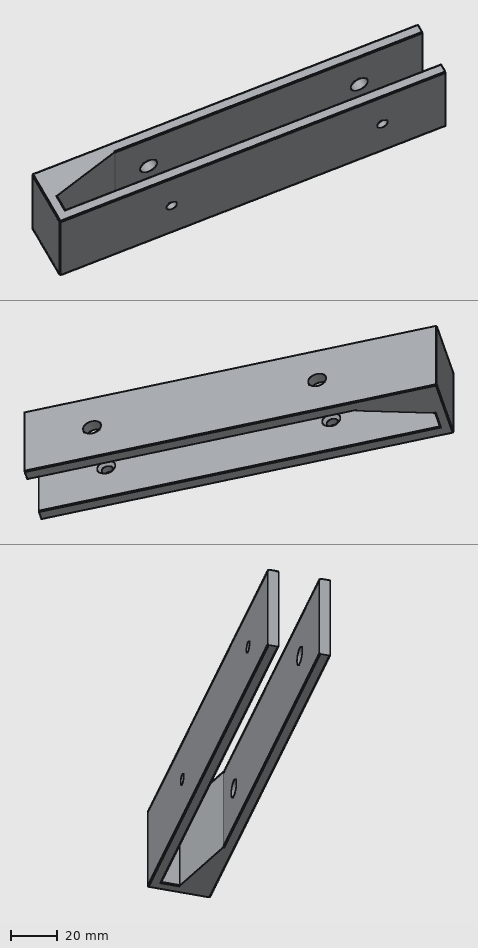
import cadquery as cq

width = 28.0
length = 183.0
height = 40.0

wall = 5.0
end_wall = 5.0
wedge_base_x = 15.0
wedge_end_y = 37.0

screw_diameter = 5.0
head_diameter = 8.0
countersink_depth = (head_diameter - screw_diameter) / 2
hole_spacing = 100.0
open_end_to_hole = 30.0
first_hole_y = length - open_end_to_hole
hole_positions = [first_hole_y, first_hole_y - hole_spacing]

edge_chamfer = 0.5
inner_face_x = width - wall


def make_body():
    """Block with its long outer edges and closed end chamfered."""
    block = cq.Workplane("XY").box(width, length, height, centered=False)
    return block.edges("|Y").chamfer(edge_chamfer).faces("<Y").edges().chamfer(edge_chamfer)


def make_slot():
    """Full-height slot, open at +Y, flaring out at its top and bottom rims."""
    slot_width = inner_face_x - wall
    slot_length = length - end_wall
    center_x = wall + slot_width / 2
    center_y = end_wall + slot_length
    slot = cq.Workplane("XY").center(center_x, center_y).rect(slot_width, 2 * slot_length).extrude(height)
    rim_width = slot_width + 2 * edge_chamfer
    rim_length = 2 * (slot_length + edge_chamfer)
    for rim_z, inward in ((0, 1), (height, -1)):
        rim = (
            cq.Workplane("XY", origin=(center_x, center_y, rim_z))
            .rect(rim_width, rim_length)
            .workplane(offset=inward * edge_chamfer)
            .rect(slot_width, 2 * slot_length)
            .loft(ruled=True)
        )
        slot = slot.union(rim)
    return slot


def make_wedge():
    """Full-height wedge filling the slot corner between the -X wall and the end wall."""
    outline = [
        (edge_chamfer, edge_chamfer),
        (wedge_base_x, edge_chamfer),
        (wedge_base_x, end_wall),
        (wall, wedge_end_y),
        (edge_chamfer, wedge_end_y),
    ]
    return cq.Workplane("XY").polyline(outline).close().extrude(height)


def make_screw_hole(y):
    """Head clearance through the -X wall, countersunk screw hole through the +X wall."""
    axis = cq.Vector(1, 0, 0)
    middle = height / 2
    access = cq.Solid.makeCylinder(head_diameter / 2, inner_face_x, cq.Vector(0, y, middle), axis)
    cone = cq.Solid.makeCone(
        head_diameter / 2,
        screw_diameter / 2,
        countersink_depth,
        cq.Vector(inner_face_x, y, middle),
        axis,
    )
    shank = cq.Solid.makeCylinder(screw_diameter / 2, wall, cq.Vector(inner_face_x, y, middle), axis)
    return cq.Workplane(obj=access).union(cone).union(shank)


result = make_body().cut(make_slot()).union(make_wedge())
for hole_y in hole_positions:
    result = result.cut(make_screw_hole(hole_y))